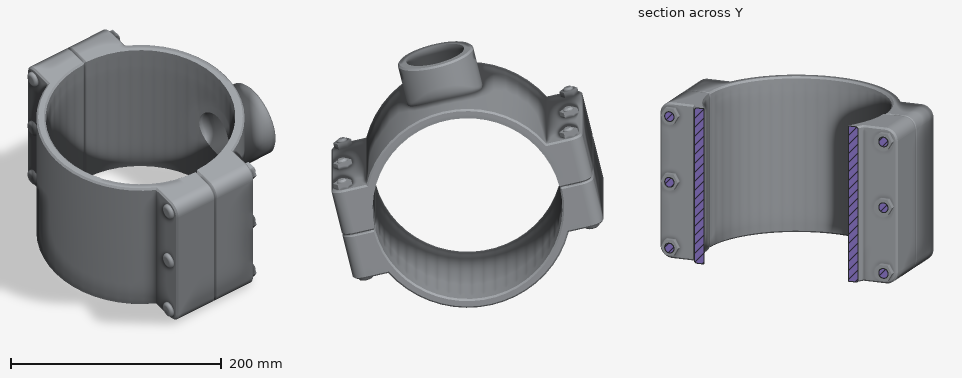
import cadquery as cq

bore_radius = 90.2
body_radius = 99.0
height = 154.0
half_width = 122.5
flange_depth = 45.0
corner_radius = 12.0
edge_chamfer = 1.7

neck_diameter = 73.7
overall_depth = 231.8
neck_end = overall_depth - body_radius
port_diameter = 50.0
socket_diameter = 56.5
socket_depth = 30.0

bolt_inset = corner_radius
shank_diameter = 10.0
head_diameter = 15.0
head_height = 4.0
head_fillet = 3.0
nut_across_corners = 17.6
nut_height = 5.1
tip_length = 2.7
tip_chamfer = 1.7


def cylinder_along_y(diameter, y_start, y_end):
    """Solid cylinder centred on the Y axis between two Y positions."""
    plane = cq.Workplane("XZ", origin=(0, y_start, 0))
    return plane.circle(diameter / 2).extrude(y_start - y_end)


def centred_cylinder(radius):
    """Vertical cylinder as tall as the clamp."""
    return cq.Workplane("XY").circle(radius).extrude(height / 2, both=True)


def make_half():
    """Half ring on +Y with a flange at each side; outer edges and the edges of the joint are chamfered."""
    ring = centred_cylinder(body_radius).faces("|Z").edges().chamfer(edge_chamfer)
    rear_side = cq.Workplane("XY").box(2 * body_radius, body_radius, height)
    ring = ring.intersect(rear_side.translate((0, body_radius / 2, 0)))
    flange = cq.Workplane("XY").box(2 * half_width, flange_depth, height)
    flange = flange.translate((0, flange_depth / 2, 0)).edges("|Y").fillet(corner_radius)
    flange = flange.faces(">Y").edges().chamfer(edge_chamfer)
    half = ring.union(flange).cut(centred_cylinder(bore_radius))
    return half.faces("<Y").edges().chamfer(edge_chamfer)


def make_bore_flare():
    """Cutter that chamfers both rims of the bore."""
    rim = cq.Workplane("XY", origin=(0, 0, height / 2)).circle(bore_radius + edge_chamfer)
    flare = rim.extrude(-edge_chamfer, taper=45)
    return flare.union(flare.mirror("XY"))


def add_neck(half):
    """Branch pipe along +Y with a port through the wall and a wider socket outside it."""
    neck = cylinder_along_y(neck_diameter, 0, neck_end).faces(">Y").edges().chamfer(edge_chamfer)
    neck = neck.cut(centred_cylinder(bore_radius))
    port = cylinder_along_y(port_diameter, 0, neck_end)
    socket = cylinder_along_y(socket_diameter, neck_end - socket_depth, neck_end)
    return half.union(neck).cut(port).cut(socket)


def make_bolt():
    """Bolt on the Y axis: round head on -Y, shank, hexagon nut and chamfered tip on +Y."""
    head = cylinder_along_y(head_diameter, -flange_depth - head_height, -flange_depth)
    head = head.faces("<Y").edges().fillet(head_fillet)
    tip_end = flange_depth + nut_height + tip_length
    shank = cylinder_along_y(shank_diameter, -flange_depth, tip_end).faces(">Y").edges().chamfer(tip_chamfer)
    nut = cq.Workplane("XZ", origin=(0, flange_depth, 0)).polygon(6, nut_across_corners).extrude(-nut_height)
    return head.union(shank).union(nut)


rear_half = add_neck(make_half())
front_half = make_half().mirror("XZ").cut(make_bore_flare())
result = rear_half.union(front_half)

bolt = make_bolt()
bolt_x = half_width - bolt_inset
bolt_z = height / 2 - bolt_inset
for x in (-bolt_x, bolt_x):
    for z in (-bolt_z, 0, bolt_z):
        result = result.union(bolt.translate((x, 0, z)))